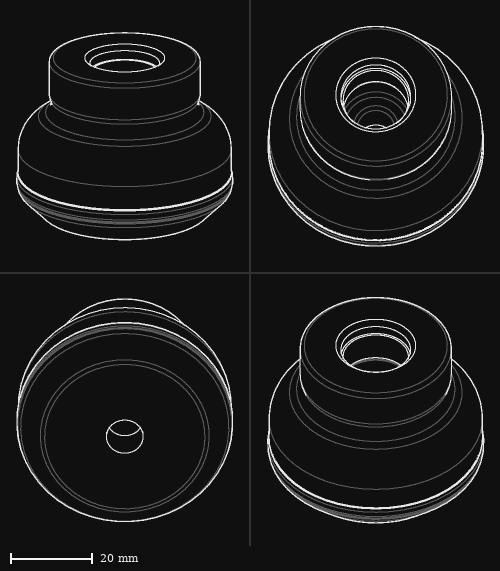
import cadquery as cq
import math

HEIGHT = 40.0
SPLIT_HEIGHT = 9.9
THROUGH_RADIUS = 4.5

BASE_RADIUS = 26.4
BASE_TOP_ROUND = 1.5
BASE_TOP_ANGLE = math.radians(35)
RIM_BOTTOM = 7.6
TAPER_ANGLE = math.radians(15)
BAND_TOP = 7.0
BAND_BOTTOM = 6.8
TAPER_BOTTOM = 6.5
BASE_SHOULDER_ROUND = 2.8
CONE_ANGLE = math.radians(45)
BASE_BOTTOM_ROUND = 1.5

BODY_RADIUS = 26.1
BODY_BOTTOM_CHAMFER = 0.3
BODY_TOP = 16.2
DOME_ROUND = 10.0
SHOULDER_ANGLE = math.radians(60)
SHOULDER_WIDTH = 1.75
THROAT_ROUND = 2.85
HEAD_RADIUS = 18.5
HEAD_BOTTOM = 30.8
HEAD_TOP_ROUND = 1.0

SOCKET_CHAMFER = 1.25
MOUTH_RADIUS = 8.5
LEDGE_HEIGHT = 36.5
BORE_RADIUS = 7.95
BORE_BOTTOM = 29.1
FLARE_ANGLE = math.radians(30)
FLARE_HEIGHT = 0.9
SOCKET_ROUND = 1.0
HOLE_EDGE_ROUND = 0.9
FLOOR_HEIGHT = 20.05


def on_arc(center, radius, angle):
    """Point at the given angle on a circle in the radius-height plane."""
    return (center[0] + radius * math.cos(angle), center[1] + radius * math.sin(angle))


def arc_to(profile, center, radius, start, end):
    """Draw an arc between two angles; the profile already stands at the start angle."""
    middle = on_arc(center, radius, (start + end) / 2)
    return profile.threePointArc(middle, on_arc(center, radius, end))


def revolve(profile):
    """Close a radius-height profile and spin it about the Z axis."""
    return profile.close().revolve(360, (0, 0, 0), (0, 1, 0))


def make_base():
    slope = math.tan(TAPER_ANGLE)
    band_radius = BASE_RADIUS - (RIM_BOTTOM - BAND_TOP) * slope
    taper_end_radius = band_radius - (BAND_BOTTOM - TAPER_BOTTOM) * slope
    shoulder_center = (
        taper_end_radius - BASE_SHOULDER_ROUND * math.cos(TAPER_ANGLE),
        TAPER_BOTTOM + BASE_SHOULDER_ROUND * math.sin(TAPER_ANGLE),
    )
    cone_top = on_arc(shoulder_center, BASE_SHOULDER_ROUND, -CONE_ANGLE)
    cone_bottom_height = BASE_BOTTOM_ROUND * (1 - math.cos(CONE_ANGLE))
    cone_bottom_radius = cone_top[0] - (cone_top[1] - cone_bottom_height) / math.tan(CONE_ANGLE)
    bottom_center = (
        cone_bottom_radius - BASE_BOTTOM_ROUND * math.sin(CONE_ANGLE),
        BASE_BOTTOM_ROUND,
    )
    top_center = (
        BASE_RADIUS - BASE_TOP_ROUND,
        SPLIT_HEIGHT - BASE_TOP_ROUND * math.sin(BASE_TOP_ANGLE),
    )
    top_edge = on_arc(top_center, BASE_TOP_ROUND, BASE_TOP_ANGLE)

    profile = cq.Workplane("XZ").moveTo(THROUGH_RADIUS, SPLIT_HEIGHT).lineTo(*top_edge)
    profile = arc_to(profile, top_center, BASE_TOP_ROUND, BASE_TOP_ANGLE, 0)
    profile = (
        profile.lineTo(BASE_RADIUS, RIM_BOTTOM)
        .lineTo(band_radius, BAND_TOP)
        .lineTo(band_radius, BAND_BOTTOM)
        .lineTo(taper_end_radius, TAPER_BOTTOM)
    )
    profile = arc_to(profile, shoulder_center, BASE_SHOULDER_ROUND, -TAPER_ANGLE, -CONE_ANGLE)
    profile = profile.lineTo(cone_bottom_radius, cone_bottom_height)
    profile = arc_to(profile, bottom_center, BASE_BOTTOM_ROUND, -CONE_ANGLE, -math.pi / 2)
    return revolve(profile.lineTo(THROUGH_RADIUS, 0))


def make_housing_blank():
    """Housing without its socket: straight side, dome, shoulder cone, throat and head."""
    dome_center = (BODY_RADIUS - DOME_ROUND, BODY_TOP)
    dome_end = on_arc(dome_center, DOME_ROUND, SHOULDER_ANGLE)
    shoulder_end = (
        dome_end[0] - SHOULDER_WIDTH,
        dome_end[1] + SHOULDER_WIDTH / math.tan(SHOULDER_ANGLE),
    )
    throat_center = on_arc(shoulder_end, THROAT_ROUND, SHOULDER_ANGLE)

    across = throat_center[0] - HEAD_RADIUS
    rise = HEAD_BOTTOM - throat_center[1]
    lip_round = (across**2 + rise**2 - THROAT_ROUND**2) / (2 * (THROAT_ROUND - across))
    lip_center = (HEAD_RADIUS - lip_round, HEAD_BOTTOM)
    lip_angle = math.atan2(rise, across + lip_round)

    head_center = (HEAD_RADIUS - HEAD_TOP_ROUND, HEIGHT - HEAD_TOP_ROUND)

    profile = (
        cq.Workplane("XZ")
        .moveTo(0, SPLIT_HEIGHT)
        .lineTo(BODY_RADIUS - BODY_BOTTOM_CHAMFER, SPLIT_HEIGHT)
        .lineTo(BODY_RADIUS, SPLIT_HEIGHT + BODY_BOTTOM_CHAMFER)
        .lineTo(BODY_RADIUS, BODY_TOP)
    )
    profile = arc_to(profile, dome_center, DOME_ROUND, 0, SHOULDER_ANGLE)
    profile = profile.lineTo(*shoulder_end)
    profile = arc_to(profile, throat_center, THROAT_ROUND, math.pi + SHOULDER_ANGLE, math.pi - lip_angle)
    profile = arc_to(profile, lip_center, lip_round, -lip_angle, 0)
    profile = profile.lineTo(HEAD_RADIUS, head_center[1])
    profile = arc_to(profile, head_center, HEAD_TOP_ROUND, 0, math.pi / 2)
    return revolve(profile.lineTo(0, HEIGHT))


def make_socket():
    """Space cut from the housing: chamfered mouth, ledge, bore, undercut chamber and through hole."""
    flare_end = (BORE_RADIUS + FLARE_HEIGHT * math.tan(FLARE_ANGLE), BORE_BOTTOM - FLARE_HEIGHT)
    flare_center = (
        flare_end[0] - SOCKET_ROUND * math.cos(FLARE_ANGLE),
        flare_end[1] - SOCKET_ROUND * math.sin(FLARE_ANGLE),
    )
    chamber_radius = flare_center[0] + SOCKET_ROUND
    corner_center = (chamber_radius - SOCKET_ROUND, FLOOR_HEIGHT + SOCKET_ROUND)
    edge_center = (THROUGH_RADIUS + HOLE_EDGE_ROUND, FLOOR_HEIGHT - HOLE_EDGE_ROUND)

    profile = (
        cq.Workplane("XZ")
        .moveTo(0, HEIGHT)
        .lineTo(MOUTH_RADIUS + SOCKET_CHAMFER, HEIGHT)
        .lineTo(MOUTH_RADIUS, HEIGHT - SOCKET_CHAMFER)
        .lineTo(MOUTH_RADIUS, LEDGE_HEIGHT)
        .lineTo(BORE_RADIUS, LEDGE_HEIGHT)
        .lineTo(BORE_RADIUS, BORE_BOTTOM)
        .lineTo(*flare_end)
    )
    profile = arc_to(profile, flare_center, SOCKET_ROUND, FLARE_ANGLE, 0)
    profile = profile.lineTo(chamber_radius, corner_center[1])
    profile = arc_to(profile, corner_center, SOCKET_ROUND, 0, -math.pi / 2)
    profile = profile.lineTo(edge_center[0], FLOOR_HEIGHT)
    profile = arc_to(profile, edge_center, HOLE_EDGE_ROUND, math.pi / 2, math.pi)
    return revolve(profile.lineTo(THROUGH_RADIUS, SPLIT_HEIGHT).lineTo(0, SPLIT_HEIGHT))


base = make_base()
housing = make_housing_blank().cut(make_socket())

result = cq.Compound.makeCompound([base.val(), housing.val()])